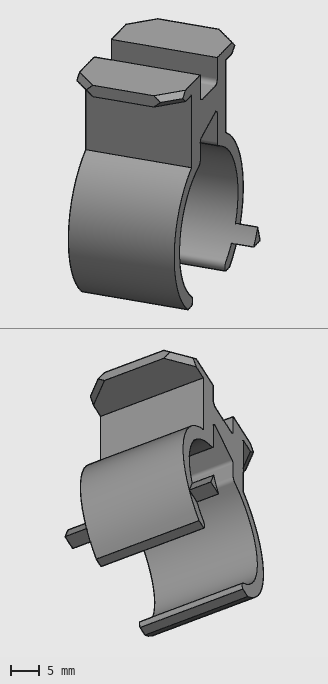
import cadquery as cq
import math

total_height = 42.75
body_length = 20.0
ring_outer_radius = 16.0
ring_wall = 2.5
ring_center_z = 12.75
mouth_half_width = 7.45

column_half_width = 7.95
slot_half_width = 3.95
slot_depth = 5.1
slot_fillet = 1.0
web_high_z = 32.93
web_low_z = 30.3
web_fillet = 0.73
throat_fillet = 1.0

flange_half_width = 15.0
flange_thickness = 2.2
corner_cut = 3.0
corner_bevel = 1.25

pin_length = 28.4
pin_base_z = 4.2
pin_apex_z = 7.25

ring_inner_radius = ring_outer_radius - ring_wall
half_length = body_length / 2

tip_radius = ring_wall / 2
tip_center_y = mouth_half_width + tip_radius
tip_center_z = ring_center_z - math.sqrt((ring_inner_radius + tip_radius)**2 - tip_center_y**2)


def ring_y(radius, z):
    """Distance from the middle plane to a ring circle at height z."""
    return math.sqrt(radius**2 - (z - ring_center_z)**2)


def extrude_along_x(sketch, length):
    return sketch.extrude(length / 2, both=True)


def block(y_min, y_max, z_min, z_max):
    """Rectangular block over the full body length."""
    return (cq.Workplane("XY", origin=(0, (y_min + y_max) / 2, z_min))
            .box(body_length, y_max - y_min, z_max - z_min, centered=(True, True, False)))


def edges_at(y, z):
    """Selector for the lengthwise edge passing through (y, z)."""
    margin = 0.05
    return cq.selectors.BoxSelector(
        (-half_length, y - margin, z - margin),
        (half_length, y + margin, z + margin),
    )


def make_pin():
    """Triangular pin in the ring wall; the bore later hollows its third side."""
    profile = (
        cq.Workplane("YZ")
        .moveTo(ring_y(ring_inner_radius, pin_apex_z), pin_apex_z)
        .lineTo(ring_y(ring_outer_radius, pin_base_z), pin_base_z)
        .lineTo(ring_y(ring_inner_radius, pin_base_z), pin_base_z)
        .close()
    )
    return extrude_along_x(profile, pin_length)


def make_ring_and_column():
    ring = extrude_along_x(
        cq.Workplane("YZ").center(0, ring_center_z).circle(ring_outer_radius), body_length
    )
    bore = extrude_along_x(
        cq.Workplane("YZ").center(0, ring_center_z).circle(ring_inner_radius), pin_length
    )
    column = block(-column_half_width, column_half_width, ring_center_z, total_height)
    below_ring = ring_center_z - ring_outer_radius
    under_cut = block(-ring_outer_radius, ring_outer_radius, below_ring, 0)
    wedge_y = 2 * tip_center_y
    wedge_z = 2 * tip_center_z - ring_center_z
    mouth = extrude_along_x(
        cq.Workplane("YZ").polyline([
            (0, ring_center_z),
            (wedge_y, wedge_z),
            (-wedge_y, wedge_z),
        ]).close(),
        body_length,
    )
    tips = extrude_along_x(
        cq.Workplane("YZ")
        .pushPoints([(-tip_center_y, tip_center_z), (tip_center_y, tip_center_z)])
        .circle(tip_radius),
        body_length,
    )
    clip = ring.union(column).union(make_pin()).cut(bore)
    return clip.cut(mouth).union(tips).cut(under_cut)


def cut_slots(body):
    slot_floor_z = total_height - slot_depth
    slot = block(-slot_half_width, slot_half_width, slot_floor_z, total_height)
    throat = extrude_along_x(
        cq.Workplane("YZ").polyline([
            (-slot_half_width, ring_center_z),
            (slot_half_width, ring_center_z),
            (slot_half_width, web_high_z),
            (-slot_half_width, web_low_z),
        ]).close(),
        body_length,
    )
    return body.cut(slot).cut(throat)


def round_edges(body):
    throat_z = ring_center_z + math.sqrt(ring_inner_radius**2 - slot_half_width**2)
    for side, web_z in ((1, web_high_z), (-1, web_low_z)):
        slot_y = side * slot_half_width
        for y, z, radius in (
            (slot_y, total_height - slot_depth, slot_fillet),
            (slot_y, web_z, web_fillet),
            (slot_y, throat_z, throat_fillet),
        ):
            body = body.edges(edges_at(y, z)).fillet(radius)
    return body


def flange_outline(z, cut):
    """Rectangle with its four corners cut off at 45 degrees."""
    x, y = half_length, flange_half_width
    return cq.Workplane("XY", origin=(0, 0, z)).polyline([
        (x - cut, y), (x, y - cut), (x, cut - y), (x - cut, -y),
        (cut - x, -y), (-x, cut - y), (-x, y - cut), (cut - x, y),
    ]).close()


def make_flanges():
    """Top plate whose cut corners are bevelled to a ridge at half thickness."""
    half_thickness = flange_thickness / 2
    bottom_z = total_height - flange_thickness
    face_cut = corner_cut + corner_bevel
    face_wire = flange_outline(bottom_z, face_cut).val()
    ridge_wire = flange_outline(bottom_z + half_thickness, corner_cut).val()
    lower = cq.Workplane(cq.Solid.makeLoft([face_wire, ridge_wire], True))
    upper = lower.mirror("XY", (0, 0, bottom_z + half_thickness))
    gap = block(-slot_half_width, slot_half_width, bottom_z, total_height)
    return lower.union(upper).cut(gap)


body = round_edges(cut_slots(make_ring_and_column()))
result = body.union(make_flanges())